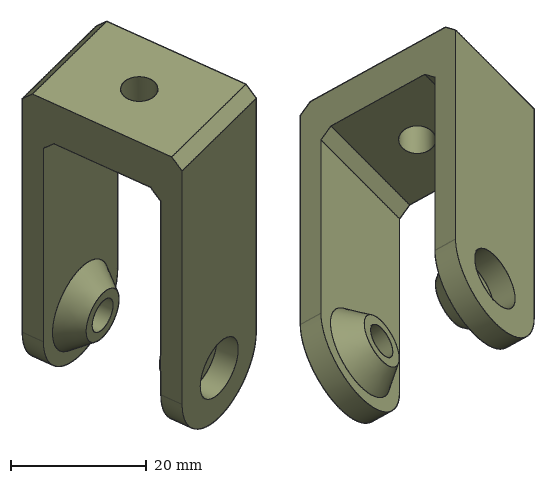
import cadquery as cq

width = 28.5
depth = 19.5
height = 57.75

wall = 3.8
bridge_thickness = 7.9
outer_chamfer = 1.85
inner_chamfer = 1.85

hole_diameter = 5.5
counterbore_diameter = 10.0
counterbore_depth = 3.8
boss_base_diameter = 14.8
boss_tip_diameter = 8.65
boss_height = 3.9

end_radius = depth / 2
pivot_z = end_radius
inner_width = width - 2 * wall


def fork_body():
    """Inverted U with chamfered corners and rounded arm ends."""
    block = (
        cq.Workplane("XY")
        .box(width, depth, height, centered=(True, True, False))
        .edges("|Y and >Z")
        .chamfer(outer_chamfer)
    )
    gap = (
        cq.Workplane("XY")
        .box(inner_width, depth, height - bridge_thickness, centered=(True, True, False))
        .edges("|Y and >Z")
        .chamfer(inner_chamfer)
    )
    side_outline = (
        cq.Workplane("YZ")
        .workplane(offset=-width / 2)
        .moveTo(-end_radius, height)
        .lineTo(-end_radius, pivot_z)
        .threePointArc((0, 0), (end_radius, pivot_z))
        .lineTo(end_radius, height)
        .close()
        .extrude(width)
    )
    return block.cut(gap).intersect(side_outline)


def pivot_boss(side):
    """Cone on the inner face of one arm, narrowing toward the middle."""
    return cq.Workplane(
        cq.Solid.makeCone(
            boss_base_diameter / 2,
            boss_tip_diameter / 2,
            boss_height,
            pnt=cq.Vector(side * inner_width / 2, 0, pivot_z),
            dir=cq.Vector(-side, 0, 0),
        )
    )


def counterbore(side):
    """Screw head recess in the outer face of one arm."""
    return cq.Workplane(
        cq.Solid.makeCylinder(
            counterbore_diameter / 2,
            counterbore_depth,
            pnt=cq.Vector(side * width / 2, 0, pivot_z),
            dir=cq.Vector(-side, 0, 0),
        )
    )


pivot_hole = (
    cq.Workplane("YZ")
    .center(0, pivot_z)
    .circle(hole_diameter / 2)
    .extrude(width / 2, both=True)
)
bridge_hole = (
    cq.Workplane("XY")
    .workplane(offset=height - bridge_thickness)
    .circle(hole_diameter / 2)
    .extrude(bridge_thickness)
)

result = fork_body()
for side in (-1, 1):
    result = result.union(pivot_boss(side)).cut(counterbore(side))
result = result.cut(pivot_hole).cut(bridge_hole)